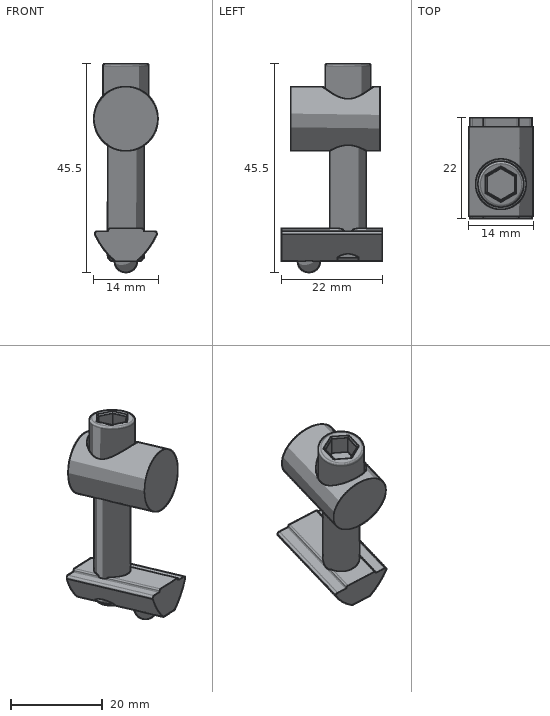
import cadquery as cq
import math


BARREL_DIAMETER = 14.0
BARREL_FRONT = -7.0
BARREL_BACK = 12.5
BARREL_AXIS_Z = 33.47
HEAD_HOLE_DIAMETER = 11.0

TOTAL_HEIGHT = 45.5
HEAD_DIAMETER = 10.0
HEAD_EDGE_RADIUS = 0.5
HEAD_SEAT_Z = BARREL_AXIS_Z
SHANK_DIAMETER = 8.0
SHANK_CHAMFER = 0.77
HEX_FLATS = 6.0
HEX_MOUTH_FLATS = 6.75
HEX_CHAMFER_DEPTH = 0.35
HEX_DEPTH = 5.0

NUT_FRONT = -7.5
NUT_LENGTH = 22.0
BALL_DIAMETER = 5.0
BALL_Y = 8.5
NUT_BOTTOM_Z = BALL_DIAMETER / 2
NUT_TOP_Z = 9.6
LEDGE_Z = 9.0
RIDGE_HALF_WIDTH = 3.85
RIDGE_EDGE_RADIUS = 0.35
RIDGE_ROOT_RADIUS = 0.2
NUT_HALF_WIDTH = 6.78
NUT_SIDE_Z = 8.32
NUT_EDGE_RADIUS = 0.55
FLANK_MID_HALF_WIDTH = 5.1
FLANK_MID_Z = 5.4
NUT_BOTTOM_HALF_WIDTH = 2.35
EDGE_MARGIN = 0.05


def vertical_cylinder(diameter, bottom_z, top_z):
    return cq.Workplane("XY", origin=(0, 0, bottom_z)).circle(diameter / 2).extrude(top_z - bottom_z)


def hexagon(flats, z):
    """Hexagon sketch with two flats facing +X and -X."""
    corner_radius = flats / math.sqrt(3)
    corners = [
        (corner_radius * math.sin(math.radians(60 * i)), corner_radius * math.cos(math.radians(60 * i)))
        for i in range(6)
    ]
    return cq.Workplane("XY", origin=(0, 0, z)).polyline(corners).close()


def make_barrel():
    barrel = (
        cq.Workplane("XZ", origin=(0, BARREL_BACK, BARREL_AXIS_Z))
        .circle(BARREL_DIAMETER / 2)
        .extrude(BARREL_BACK - BARREL_FRONT)
    )
    shank_hole = vertical_cylinder(SHANK_DIAMETER, 0, TOTAL_HEIGHT)
    head_hole = vertical_cylinder(HEAD_HOLE_DIAMETER, HEAD_SEAT_Z, TOTAL_HEIGHT)
    return barrel.cut(shank_hole).cut(head_hole)


def make_hex_socket():
    socket = hexagon(HEX_FLATS, TOTAL_HEIGHT - HEX_DEPTH).extrude(HEX_DEPTH)
    taper = math.degrees(math.atan2((HEX_MOUTH_FLATS - HEX_FLATS) / 2, HEX_CHAMFER_DEPTH))
    mouth = hexagon(HEX_MOUTH_FLATS, TOTAL_HEIGHT).extrude(-HEX_CHAMFER_DEPTH, taper=taper)
    return socket.union(mouth)


def make_screw():
    shank = vertical_cylinder(SHANK_DIAMETER, NUT_BOTTOM_Z, HEAD_SEAT_Z).faces("<Z").chamfer(SHANK_CHAMFER)
    head = vertical_cylinder(HEAD_DIAMETER, HEAD_SEAT_Z, TOTAL_HEIGHT)
    head = head.faces(">Z").edges().fillet(HEAD_EDGE_RADIUS)
    return shank.union(head).cut(make_hex_socket())


def nut_edges(nut, half_width, z):
    """The two mirrored lengthwise edges of the nut at one profile corner."""
    selectors = [
        cq.selectors.BoxSelector(
            (x - EDGE_MARGIN, NUT_FRONT, z - EDGE_MARGIN),
            (x + EDGE_MARGIN, NUT_FRONT + NUT_LENGTH, z + EDGE_MARGIN),
        )
        for x in (-half_width, half_width)
    ]
    return nut.edges("|Y").edges(selectors[0] + selectors[1])


def make_nut():
    nut = (
        cq.Workplane("XZ", origin=(0, NUT_FRONT, 0))
        .moveTo(-RIDGE_HALF_WIDTH, NUT_TOP_Z)
        .lineTo(RIDGE_HALF_WIDTH, NUT_TOP_Z)
        .lineTo(RIDGE_HALF_WIDTH, LEDGE_Z)
        .lineTo(NUT_HALF_WIDTH, LEDGE_Z)
        .lineTo(NUT_HALF_WIDTH, NUT_SIDE_Z)
        .threePointArc((FLANK_MID_HALF_WIDTH, FLANK_MID_Z), (NUT_BOTTOM_HALF_WIDTH, NUT_BOTTOM_Z))
        .lineTo(-NUT_BOTTOM_HALF_WIDTH, NUT_BOTTOM_Z)
        .threePointArc((-FLANK_MID_HALF_WIDTH, FLANK_MID_Z), (-NUT_HALF_WIDTH, NUT_SIDE_Z))
        .lineTo(-NUT_HALF_WIDTH, LEDGE_Z)
        .lineTo(-RIDGE_HALF_WIDTH, LEDGE_Z)
        .close()
        .extrude(-NUT_LENGTH)
    )
    rounded_corners = [
        (RIDGE_HALF_WIDTH, NUT_TOP_Z, RIDGE_EDGE_RADIUS),
        (RIDGE_HALF_WIDTH, LEDGE_Z, RIDGE_ROOT_RADIUS),
        (NUT_HALF_WIDTH, LEDGE_Z, NUT_EDGE_RADIUS),
    ]
    for half_width, z, radius in rounded_corners:
        nut = nut_edges(nut, half_width, z).fillet(radius)
    ball = cq.Workplane("XY", origin=(0, BALL_Y, NUT_BOTTOM_Z)).sphere(BALL_DIAMETER / 2)
    return nut.union(ball)


def make_clamp_screw():
    """Screw and slot nut as one body."""
    return make_nut().union(make_screw())


barrel = make_barrel()
clamp_screw = make_clamp_screw()
result = cq.Compound.makeCompound([barrel.val(), clamp_screw.val()])